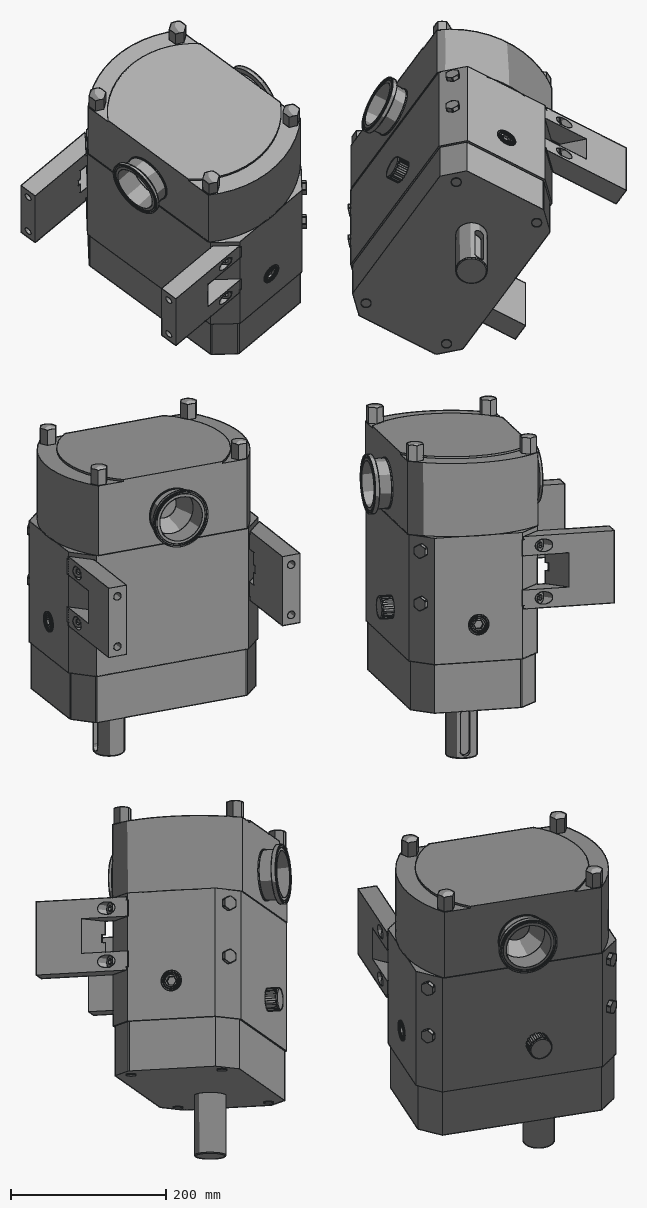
import cadquery as cq
import math


overall_length = 277.0

gearcase_length = 265.5
gearcase_width = 166.5
gearcase_height = 65
gearcase_corner = 25.0
gearcase_edge_break = 1.5
body_length = 270.5
body_width = 171.0
body_top = 233.5
body_corner = 27.0
head_radius = 137.0
head_width = 173.5
head_top = 330.5
plate_radius = 112.0
plate_thickness = 2.5

nut_x = 100.0
nut_y = 75.5
nut_flats = 19.5
nut_height = 23.5
nut_dome_radius = 25.5

port_height = 275.0
port_reach = 111.5
neck_radius = 32.5
neck_collar_radius = 33.5
neck_collar_length = 1.7
flange_radius = 38.5
front_flange_rim = 4.0
front_flange_taper = 4.0
back_flange_rim = 5.5
back_flange_taper = 1.5
bore_radius = 30.5
throat_radius = 17.5
cone_start = 83.5
cone_end = 60.5
seal_groove_radius = 35.5
seal_groove_width = 2.0
seal_groove_depth = 1.0

shaft_x = -49.5
shaft_radius = 20.5
shaft_length = 80.0
shaft_chamfer = 1.5
keyway_width = 13
keyway_top = -14.7
keyway_bottom = -76.5
keyway_depth = 8.0

bracket_outer_x = 136.5
bracket_thickness = 25.0
bracket_front_y = -180.5
bracket_bottom = 132.0
bracket_top = 228.0
pad_thickness = 1.7
pad_inset = 4.5
window_bottom = 157.0
window_top = 202.5
window_depth_y = -120.0
notch_height = 10.5
notch_depth = 4.0
end_hole_diameter = 10.5
end_hole_depth = 26
end_hole_point = 3.0

fastener_heights = (145.0, 214.5)
counterbore_radius = 8.2
counterbore_floor = 7.5
screw_head_radius = 8.0
screw_socket_flats = 7.0
screw_socket_depth = 4.5
bolt_flats = 16.5
bolt_corner_radius = 9.0
bolt_head_height = 6.0

plug_height = 115.0
plug_radius = 13.5
plug_protrusion = 1.5
plug_groove_radius = 11.0
plug_groove_width = 1.5
plug_recess_radius = 8.2
plug_recess_depth = 1.0
plug_socket_flats = 11.3
plug_socket_depth = 4.5
knob_x = -20.0
knob_height = 115.5
knob_radius = 15.0
knob_end_y = 102.0
knob_chamfer = 1.5
knob_rim = 2.5
flute_count = 16
flute_radius = 1.5
foot_x = 111.0
foot_y = 60.5
foot_radius = 6.5
foot_height = 1.5

corner_sum = (body_length + body_width) / 2 - body_corner
corner_x = body_length / 2 - body_corner / 2
corner_y = body_width / 2 - body_corner / 2

screw_head_end = (overall_length / 2 - corner_x) * math.sqrt(2) - screw_head_radius

overlap = 4.5


def mirror_x(shape):
    """Return the shape together with its copy on the other side of the YZ plane."""
    return shape.union(shape.mirror("YZ"))


def hexagon(plane, flats, height):
    """Hexagonal prism with two corners on the local X axis."""
    return cq.Workplane(plane).polygon(6, flats / math.cos(math.pi / 6)).extrude(height)


def chamfered_block(length, width, corner, bottom, top):
    return (
        cq.Workplane("XY", origin=(0, 0, bottom))
        .rect(length, width)
        .extrude(top - bottom)
        .edges("|Z")
        .chamfer(corner)
    )


def rounded_head(radius, bottom, top):
    """Disc cut flat at the front and the back."""
    slab = cq.Workplane("XY", origin=(0, 0, bottom)).rect(4 * radius, head_width).extrude(top - bottom)
    return cq.Workplane("XY", origin=(0, 0, bottom)).circle(radius).extrude(top - bottom).intersect(slab)


def make_housings():
    gearcase = chamfered_block(gearcase_length, gearcase_width, gearcase_corner, 0, gearcase_height)
    front_edges = cq.selectors.BoxSelector(
        (-gearcase_length, -gearcase_width, 0), (gearcase_length, 0, gearcase_height)
    )
    gearcase = gearcase.edges("|Z").edges(front_edges).chamfer(gearcase_edge_break)
    body = chamfered_block(body_length, body_width, body_corner, gearcase_height, body_top)
    head = rounded_head(head_radius, body_top, head_top)
    plate = rounded_head(plate_radius, head_top, head_top + plate_thickness)
    return gearcase.union(body).union(head).union(plate)


def make_nuts():
    """Hexagon nuts with domed tops at the four corners of the head."""
    nut = hexagon("XY", nut_flats, nut_height + overlap)
    dome_centre = nut_height + overlap - nut_dome_radius
    dome = cq.Workplane("XY").sphere(nut_dome_radius).translate((0, 0, dome_centre))
    lower_part = cq.Workplane("XY").circle(nut_flats).extrude(nut_height / 2)
    nut = nut.intersect(dome.union(lower_part))
    nuts = cq.Workplane("XY")
    for x in (-nut_x, nut_x):
        for y in (-nut_y, nut_y):
            nuts = nuts.add(nut.translate((x, y, head_top - overlap)))
    return nuts.combine()


def make_port(flange_rim, flange_taper):
    """Ferrule on the back of the head, turned about an axis along Y."""
    head_face = head_width / 2
    rim_start = port_reach - flange_rim
    profile = [
        (0, head_face - overlap),
        (neck_collar_radius, head_face - overlap),
        (neck_collar_radius, head_face + neck_collar_length),
        (neck_radius, head_face + neck_collar_length),
        (neck_radius, rim_start - flange_taper),
        (flange_radius, rim_start),
        (flange_radius, port_reach),
        (0, port_reach),
    ]
    ferrule = cq.Workplane("XY").polyline(profile).close().revolve(360, (0, 0, 0), (0, 1, 0))
    groove = (
        cq.Workplane("XZ", origin=(0, port_reach, 0))
        .circle(seal_groove_radius + seal_groove_width / 2)
        .circle(seal_groove_radius - seal_groove_width / 2)
        .extrude(seal_groove_depth)
    )
    return ferrule.cut(groove).translate((0, 0, port_height))


def make_port_bore():
    """Straight bore narrowing through a cone to a flat floor inside the back of the head."""
    profile = [
        (0, cone_end),
        (throat_radius, cone_end),
        (bore_radius, cone_start),
        (bore_radius, port_reach),
        (0, port_reach),
    ]
    bore = cq.Workplane("XY").polyline(profile).close().revolve(360, (0, 0, 0), (0, 1, 0))
    return bore.translate((0, 0, port_height))


def make_shaft():
    shaft = (
        cq.Workplane("XY", origin=(shaft_x, 0, -shaft_length))
        .circle(shaft_radius)
        .extrude(shaft_length + overlap)
        .faces("<Z")
        .chamfer(shaft_chamfer)
    )
    keyway = (
        cq.Workplane("YZ", origin=(shaft_x - shaft_radius, 0, (keyway_top + keyway_bottom) / 2))
        .slot2D(keyway_top - keyway_bottom, keyway_width, 90)
        .extrude(keyway_depth)
    )
    return shaft.cut(keyway)


def corner_plane(y_side, height, offset):
    """Plane parallel to a left corner face, offset outwards, with local X along Z."""
    shift = offset / math.sqrt(2)
    return cq.Plane(
        origin=(-corner_x - shift, y_side * (corner_y + shift), height),
        xDir=(0, 0, 1),
        normal=(-1, y_side, 0),
    )


def make_bracket():
    """Left bracket: a plate with a 45 degree back face on a thin pad, forked by a window."""
    inner_x = bracket_outer_x - bracket_thickness
    back_sum = corner_sum + pad_thickness * math.sqrt(2)
    back_outer = (-bracket_outer_x, bracket_outer_x - back_sum)
    back_inner = (-inner_x, inner_x - back_sum)
    outline = [back_outer, back_inner, (-inner_x, bracket_front_y), (-bracket_outer_x, bracket_front_y)]
    plate = (
        cq.Workplane("XY", origin=(0, 0, bracket_bottom))
        .polyline(outline)
        .close()
        .extrude(bracket_top - bracket_bottom)
    )

    pad_outer = (-bracket_outer_x, bracket_outer_x - corner_sum)
    pad_inner = (-inner_x, inner_x - corner_sum)
    pad = (
        cq.Workplane("XY", origin=(0, 0, bracket_bottom + pad_inset))
        .polyline([back_outer, pad_outer, pad_inner, back_inner])
        .close()
        .extrude(bracket_top - bracket_bottom - 2 * pad_inset)
    )

    window_inner_y = window_depth_y + bracket_thickness
    window_outline = [
        (-bracket_outer_x, window_depth_y),
        (-inner_x, window_inner_y),
        (-inner_x + overlap, window_inner_y + overlap),
        (-inner_x + overlap, 0),
        (-bracket_outer_x, 0),
    ]
    window = (
        cq.Workplane("XY", origin=(0, 0, window_bottom))
        .polyline(window_outline)
        .close()
        .extrude(window_top - window_bottom)
    )
    notch = cq.Workplane("XY").box(bracket_thickness, 2 * notch_depth, notch_height)
    notch = notch.translate((-inner_x, window_inner_y, (window_bottom + window_top) / 2))
    bracket = plate.union(pad).cut(window).cut(notch)

    for height in fastener_heights:
        end_hole = make_end_hole().translate(((-bracket_outer_x - inner_x) / 2, bracket_front_y, height))
        counterbore = (
            cq.Workplane(corner_plane(-1, height, counterbore_floor))
            .circle(counterbore_radius)
            .extrude(2 * bracket_thickness)
        )
        bracket = bracket.cut(end_hole).cut(counterbore).union(make_socket_screw(height))
    return bracket


def make_end_hole():
    """Drilled hole along Y with a conical bottom."""
    radius = end_hole_diameter / 2
    profile = [(0, 0), (radius, 0), (radius, end_hole_depth), (0, end_hole_depth + end_hole_point)]
    return cq.Workplane("XY").polyline(profile).close().revolve(360, (0, 0, 0), (0, 1, 0))


def make_socket_screw(height):
    """Socket head screw seated on the floor of a bracket counterbore."""
    head = (
        cq.Workplane(corner_plane(-1, height, counterbore_floor))
        .circle(screw_head_radius)
        .extrude(screw_head_end - counterbore_floor)
    )
    socket = hexagon(corner_plane(-1, height, screw_head_end), screw_socket_flats, -screw_socket_depth)
    return head.cut(socket)


def make_rear_bolts():
    """Hexagon bolt heads with blunted corners on the left rear corner face."""
    bolts = cq.Workplane("XY")
    for height in fastener_heights:
        base = corner_plane(1, height, -overlap)
        head = hexagon(base, bolt_flats, bolt_head_height + overlap)
        rounding = cq.Workplane(base).circle(bolt_corner_radius).extrude(bolt_head_height + overlap)
        bolts = bolts.add(head.intersect(rounding))
    return bolts.combine()


def make_side_plug():
    """Left hand plug with a ring groove in its face."""
    outer_x = body_length / 2 + plug_protrusion
    face = cq.Plane(origin=(-outer_x, 0, plug_height), xDir=(0, 1, 0), normal=(-1, 0, 0))
    plug = cq.Workplane(face).circle(plug_radius).extrude(-plug_protrusion - overlap)
    groove = (
        cq.Workplane(face)
        .circle(plug_groove_radius + plug_groove_width / 2)
        .circle(plug_groove_radius - plug_groove_width / 2)
        .extrude(-plug_protrusion)
    )
    return plug.cut(groove)


def make_plug_socket():
    """Round recess and hexagon socket, cut through the left plug into the body."""
    face = cq.Plane(
        origin=(-body_length / 2 - plug_protrusion, 0, plug_height), xDir=(0, 1, 0), normal=(-1, 0, 0)
    )
    recess = cq.Workplane(face).circle(plug_recess_radius).extrude(-plug_recess_depth)
    return hexagon(face, plug_socket_flats, -plug_socket_depth).union(recess)


def make_knob():
    """Fluted cap on the back of the body."""
    start_y = body_width / 2
    knob = (
        cq.Workplane("XZ", origin=(knob_x, start_y - overlap, knob_height))
        .circle(knob_radius)
        .extrude(start_y - overlap - knob_end_y)
        .faces(">Y")
        .chamfer(knob_chamfer)
    )
    flutes = (
        cq.Workplane("XZ", origin=(knob_x, start_y, knob_height))
        .polarArray(knob_radius, 0, 360, flute_count)
        .circle(flute_radius)
        .extrude(start_y - knob_end_y + knob_rim)
    )
    return knob.cut(flutes)


def make_feet():
    return (
        cq.Workplane("XY", origin=(0, 0, -foot_height))
        .rect(2 * foot_x, 2 * foot_y, forConstruction=True)
        .vertices()
        .circle(foot_radius)
        .extrude(foot_height + overlap)
    )


front_port = make_port(front_flange_rim, front_flange_taper).mirror("XZ")
back_port = make_port(back_flange_rim, back_flange_taper)
port_bore = make_port_bore()
result = (
    make_housings()
    .union(make_nuts())
    .union(front_port)
    .union(back_port)
    .cut(port_bore)
    .cut(port_bore.mirror("XZ"))
    .union(make_shaft())
    .union(mirror_x(make_bracket()))
    .union(mirror_x(make_rear_bolts()))
    .union(mirror_x(make_side_plug()))
    .cut(mirror_x(make_plug_socket()))
    .union(make_knob())
    .union(make_feet())
)